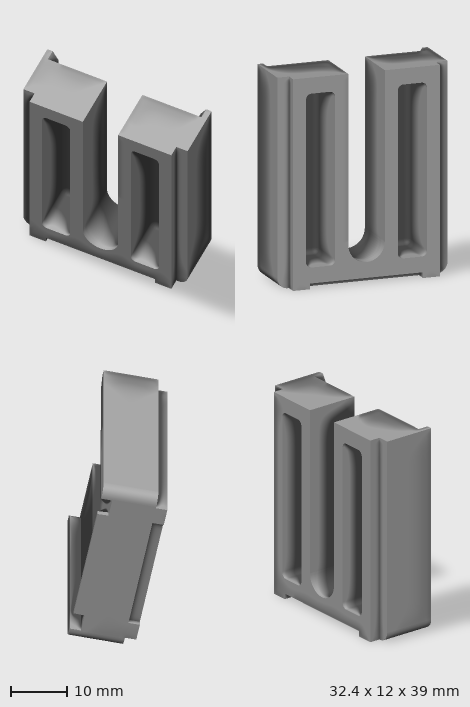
import cadquery as cq

width = 32.37
depth = 12.0
height = 39.0
corner_radius = 2.0

step_width = 2.22
step_depth = 2.05

recess_depth = 2.0
rail_width = 2.2
rail_tip_width = 1.05
rail_bevel_height = 1.95

slot_radius = 3.47
slot_bottom = 3.98

pocket_width = 5.55
pocket_offset = 8.75
pocket_bottom = slot_bottom
pocket_top = 36.05
pocket_floor_thickness = 1.0
pocket_radius = 1.0

notch_width = 21.53
notch_height = 1.05
tongue_taper = 2.0

half_width = width / 2
front_y = -depth / 2
back_y = depth / 2
body_back_y = back_y - recess_depth


def box(x_min, x_max, y_min, y_max, z_min, z_max):
    """Axis-aligned box between the given limits."""
    size = (x_max - x_min, y_max - y_min, z_max - z_min)
    return cq.Workplane().box(*size, centered=False).translate((x_min, y_min, z_min))


def make_block():
    """Block with rounded lower corners and square-cornered front face."""
    block = box(-half_width, half_width, front_y, back_y, 0, height)
    block = block.edges("|Y and <Z").fillet(corner_radius)
    inner_x = half_width - step_width
    for left, right in ((-half_width, -inner_x), (inner_x, half_width)):
        block = block.cut(box(left, right, front_y, front_y + step_depth, 0, height))
    return block


def make_recess():
    """Space between the rails, widening toward its top end."""
    lower_x = half_width - rail_width
    upper_x = half_width - rail_tip_width
    bevel_z = height - rail_bevel_height
    outline = [
        (-lower_x, 0),
        (lower_x, 0),
        (lower_x, bevel_z),
        (upper_x, height),
        (-upper_x, height),
        (-lower_x, bevel_z),
    ]
    return cq.Workplane("XZ", origin=(0, back_y, 0)).polyline(outline).close().extrude(recess_depth)


def make_slot():
    """Round-bottomed slot through the body, open at the top."""
    center_z = slot_bottom + slot_radius
    return (
        cq.Workplane("XZ", origin=(0, back_y, 0))
        .moveTo(-slot_radius, height)
        .lineTo(-slot_radius, center_z)
        .threePointArc((0, slot_bottom), (slot_radius, center_z))
        .lineTo(slot_radius, height)
        .close()
        .extrude(depth)
    )


def make_pocket(center_x):
    """Blind pocket with rounded corners and a rounded floor edge."""
    pocket = box(
        center_x - pocket_width / 2,
        center_x + pocket_width / 2,
        front_y,
        body_back_y - pocket_floor_thickness,
        pocket_bottom,
        pocket_top,
    )
    pocket = pocket.edges("|Y").fillet(pocket_radius)
    floor_radius = 0.98 * pocket_radius
    return pocket.faces(">Y").edges().fillet(floor_radius)


def make_tongue():
    """Low tongue on the recessed back, narrowing away from it, flat underneath."""
    tongue = (
        cq.Workplane("XZ", origin=(0, body_back_y, 0))
        .rect(notch_width, 2 * notch_height)
        .extrude(-recess_depth, taper=tongue_taper)
    )
    return tongue.intersect(box(-half_width, half_width, body_back_y, back_y, 0, notch_height))


result = make_block().cut(make_recess()).cut(make_slot())
for pocket_x in (-pocket_offset, pocket_offset):
    result = result.cut(make_pocket(pocket_x))
notch_back_y = front_y + step_depth
result = result.cut(box(-notch_width / 2, notch_width / 2, front_y, notch_back_y, 0, notch_height))
result = result.union(make_tongue())